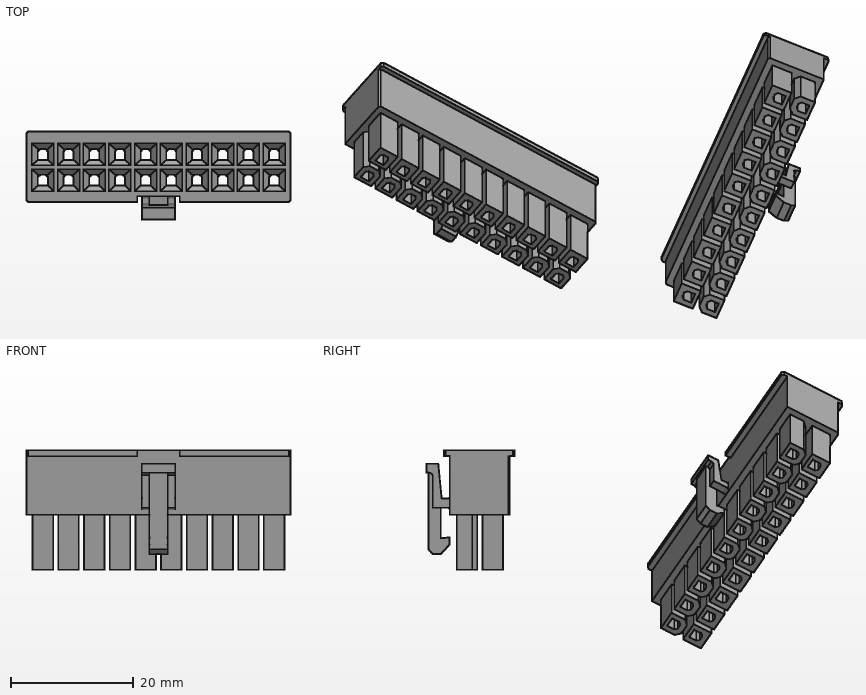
import cadquery as cq

columns = 10
pitch = 4.2
length = 43.2
total_height = 19.6
body_depth = 9.85
body_bottom = 9.0
body_back_chamfer = 0.3

flange_thickness = 1.0
flange_front = 0.95
flange_back = 0.75
flange_corner_chamfer = 0.3
flange_notch_width = 6.9

pin_size = 3.4
pin_corner_chamfer = 0.8
front_row_y = (body_depth - pitch) / 2
funnel_mouth = 3.6
funnel_depth = 1.0
bore_width = 1.6
bore_length = 1.75
bore_corner_chamfer = 0.4
cavity_y_offset = -0.18

lever_width = 5.4
strap_width = 3.0
latch_top = 17.4
latch_reach = 3.8
grip_height = 1.5
grip_back = 1.85
lever_face = 2.75
lever_chamfer = 0.4
leg_bottom = 10.15
leg_top = 11.7
leg_depth = 1.3
window_top = 12.6
leg_root_fillet = 0.25
lever_foot_fillet = 0.15
strap_back = 1.43
strap_face = 3.5
hook_bottom = 2.6
hook_nose_bottom = 4.15
hook_nose_top = 5.35
hook_root_top = 5.2
hook_chamfer = strap_face - lever_face


def block(x_size, y_min, y_max, z_min, z_max):
    """Box centred on X between the given Y and Z limits."""
    size = (x_size, y_max - y_min, z_max - z_min)
    return cq.Workplane("XY").box(*size, centered=(True, False, False)).translate((0, y_min, z_min))


def side_plate(outline, width):
    """Plate with a (Y, Z) outline, centred on X."""
    return cq.Workplane("YZ").polyline(outline).close().extrude(width / 2, both=True)


def repeat_along_row(shape, y):
    """Copies of a shape at every column of the row at the given Y."""
    points = [((i - (columns - 1) / 2) * pitch, y) for i in range(columns)]
    return cq.Workplane("XY").pushPoints(points).eachpoint(lambda place: shape.val().moved(place))


def make_body():
    body = block(length, 0, body_depth, body_bottom, total_height)
    return body.edges("|Z and >Y").chamfer(body_back_chamfer)


def make_flange():
    z_min = total_height - flange_thickness
    flange = block(length, -flange_front, body_depth + flange_back, z_min, total_height)
    flange = flange.edges("|Z").chamfer(flange_corner_chamfer)
    return flange.cut(block(flange_notch_width, -flange_front, 0, z_min, total_height))


def make_pin():
    """Square pin standing on Z = 0 and reaching up to the body."""
    return block(pin_size, -pin_size / 2, pin_size / 2, 0, body_bottom)


def make_keyed_pin():
    """Pin with its two rear corners cut off."""
    return make_pin().edges("|Z and >Y").chamfer(pin_corner_chamfer)


def make_cavity():
    """Tapered funnel at the top, leading into a bore with two rear corners cut off."""
    funnel = (
        cq.Workplane("XY", origin=(0, 0, total_height - funnel_depth))
        .rect(bore_width, bore_length)
        .workplane(offset=funnel_depth)
        .rect(funnel_mouth, funnel_mouth)
        .loft(ruled=True)
    )
    bore = block(bore_width, -bore_length / 2, bore_length / 2, 0, total_height - funnel_depth)
    return funnel.union(bore.edges("|Z and >Y").chamfer(bore_corner_chamfer))


def make_lever():
    """Slanted lever with its two root legs and the finger grip on top."""
    grip_bottom = latch_top - grip_height
    outline = [
        (0, leg_bottom),
        (0, leg_top),
        (-leg_depth, leg_top),
        (-grip_back, latch_top),
        (-latch_reach, latch_top),
        (-latch_reach, grip_bottom),
        (-lever_face - lever_chamfer, grip_bottom),
        (-lever_face, grip_bottom - lever_chamfer),
        (-lever_face, leg_bottom),
    ]
    return side_plate(outline, lever_width)


def make_strap():
    """Narrow strap in front of the lever, ending in the hook."""
    outline = [
        (-lever_face, latch_top - grip_height),
        (-strap_face, latch_top - grip_height),
        (-strap_face, hook_bottom + hook_chamfer),
        (-lever_face, hook_bottom),
        (-strap_back, hook_bottom),
        (0, hook_nose_bottom),
        (0, hook_nose_top),
        (-strap_back, hook_root_top),
        (-strap_back, leg_top),
        (-lever_face, leg_top),
    ]
    return side_plate(outline, strap_width)


def fillet_across_lever(part, y, z, radius):
    """Round the edges that run along X at the given Y and Z, across the width of the lever."""
    margin = 0.01
    corner = cq.selectors.BoxSelector(
        (-lever_width / 2 - margin, y - margin, z - margin),
        (lever_width / 2 + margin, y + margin, z + margin),
    )
    return part.edges(corner).edges("|X").fillet(radius)


housing = make_body().union(make_flange())
leg_window = block(strap_width, -strap_back, 0, leg_bottom, window_top)
housing = housing.union(make_lever().cut(leg_window))
housing = fillet_across_lever(housing, 0, leg_bottom, leg_root_fillet)
housing = fillet_across_lever(housing, 0, leg_top, leg_root_fillet)
housing = fillet_across_lever(housing, -leg_depth, leg_top, lever_foot_fillet)
housing = housing.union(make_strap())

rear_row_y = front_row_y + pitch
housing = housing.union(repeat_along_row(make_keyed_pin(), front_row_y))
housing = housing.union(repeat_along_row(make_pin(), rear_row_y))

for row_y in (front_row_y, rear_row_y):
    housing = housing.cut(repeat_along_row(make_cavity(), row_y + cavity_y_offset))

result = housing